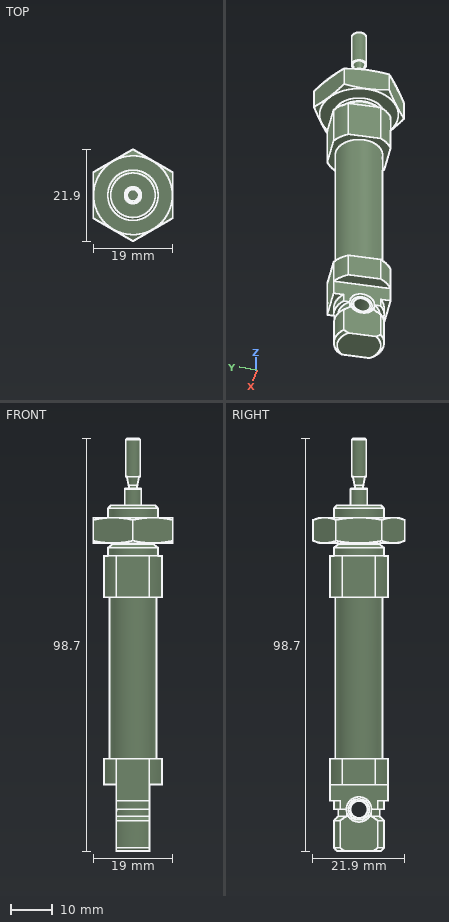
import cadquery as cq
import math

CORNER_DIA = 16.0
HEAD_WIDTH = 13.9
THREAD_DIA = 12.0
THREAD_TIP_DIA = 10.7
GROOVE_DIA = 10.0
TUBE_DIA = 11.35

TANG_THICKNESS = 8.0
TAIL_CHAMFER = 0.8
TAIL_GROOVE_BOTTOM = 7.3
TAIL_GROOVE_TOP = 10.0
TAIL_GROOVE_DEPTH = (THREAD_DIA - GROOVE_DIA) / 2
PIVOT_Z = 10.0
PIVOT_DIA = 4.0
PIVOT_STEP_DIA = 5.0
PIVOT_SINK_DIA = 6.0

REAR_HEAD_BOTTOM = 12.0
TANG_TOP = 15.9
REAR_HEAD_TOP = 22.1
FRONT_HEAD_BOTTOM = 60.7
FRONT_HEAD_TOP = 70.6
COLLAR_TOP = 72.5
NUT_BOTTOM = 73.6
NUT_TOP = 79.75
THREAD_TOP = 82.7
THREAD_CHAMFER_HEIGHT = 0.8

NUT_FLATS = 19.0
NUT_FACE_DIA = 18.9
NUT_CHAMFER_ANGLE = 20

ROD_DIA = 4.0
ROD_TOP = 86.8
ROD_CHAMFER = 0.2
NECK_DIA = 2.0
NECK_TOP = 87.4
CONE_SMALL_DIA = 2.2
CONE_LARGE_DIA = 3.0
PIN_BOTTOM = 89.5
PIN_DIA = 3.6
PIN_CHAMFER = 0.4
TOTAL_LENGTH = 98.7


def cylinder(diameter, bottom, top):
    return cq.Workplane("XY").workplane(offset=bottom).circle(diameter / 2).extrude(top - bottom)


def cone(bottom_dia, top_dia, bottom, top):
    return cq.Workplane("XY").add(
        cq.Solid.makeCone(bottom_dia / 2, top_dia / 2, top - bottom, pnt=cq.Vector(0, 0, bottom))
    )


def square_head(bottom, top):
    """Square block with its vertical corners turned round."""
    block = cq.Workplane("XY").workplane(offset=bottom).rect(HEAD_WIDTH, HEAD_WIDTH).extrude(top - bottom)
    return block.intersect(cylinder(CORNER_DIA, bottom, top))


def pivot_hole():
    """Cross hole along X, stepped and countersunk at both faces of the tang."""
    half = TANG_THICKNESS / 2
    sink = (PIVOT_SINK_DIA - PIVOT_STEP_DIA) / 2
    profile = [
        (-half, 0),
        (-half, PIVOT_SINK_DIA / 2),
        (-half + sink, PIVOT_STEP_DIA / 2),
        (-half + sink, PIVOT_DIA / 2),
        (half - sink, PIVOT_DIA / 2),
        (half - sink, PIVOT_STEP_DIA / 2),
        (half, PIVOT_SINK_DIA / 2),
        (half, 0),
    ]
    hole = cq.Workplane("XY").polyline(profile).close().revolve(360, (0, 0), (1, 0))
    return hole.translate((0, 0, PIVOT_Z))


def rear_end():
    """Rear head and grooved stub, flattened to the tang below TANG_TOP."""
    groove_floor = TAIL_GROOVE_BOTTOM + TAIL_GROOVE_DEPTH
    stub = cylinder(THREAD_DIA, 0, REAR_HEAD_BOTTOM).faces("<Z").chamfer(TAIL_CHAMFER)
    stub = stub.cut(
        cylinder(THREAD_DIA, TAIL_GROOVE_BOTTOM, TAIL_GROOVE_TOP)
        .cut(cone(THREAD_DIA, GROOVE_DIA, TAIL_GROOVE_BOTTOM, groove_floor))
        .cut(cylinder(GROOVE_DIA, groove_floor, TAIL_GROOVE_TOP))
    )
    end = stub.union(square_head(REAR_HEAD_BOTTOM, REAR_HEAD_TOP))
    tang_space = cq.Workplane("XY").box(TANG_THICKNESS, HEAD_WIDTH, TANG_TOP, centered=(True, True, False))
    upper_space = cylinder(CORNER_DIA, TANG_TOP, REAR_HEAD_TOP)
    return end.intersect(tang_space.union(upper_space)).cut(pivot_hole())


def threaded_neck():
    """Mounting thread with a narrow groove below the nut."""
    radii_and_heights = [
        (0, FRONT_HEAD_TOP),
        (THREAD_DIA / 2, FRONT_HEAD_TOP),
        (THREAD_DIA / 2, COLLAR_TOP),
        (GROOVE_DIA / 2, COLLAR_TOP + THREAD_CHAMFER_HEIGHT),
        (GROOVE_DIA / 2, NUT_BOTTOM),
        (THREAD_DIA / 2, NUT_BOTTOM),
        (THREAD_DIA / 2, THREAD_TOP - THREAD_CHAMFER_HEIGHT),
        (THREAD_TIP_DIA / 2, THREAD_TOP),
        (0, THREAD_TOP),
    ]
    return cq.Workplane("XZ").polyline(radii_and_heights).close().revolve(360, (0, 0), (0, 1))


def make_housing():
    body = rear_end()
    body = body.union(cylinder(TUBE_DIA, REAR_HEAD_TOP, FRONT_HEAD_BOTTOM))
    body = body.union(square_head(FRONT_HEAD_BOTTOM, FRONT_HEAD_TOP))
    body = body.union(threaded_neck())
    rod_bore = cylinder(ROD_DIA, FRONT_HEAD_BOTTOM, THREAD_TOP)
    return body.cut(rod_bore)


def make_nut():
    """Hexagon with two flats facing +X and -X and both ends chamfered at the corners."""
    corner_dia = NUT_FLATS / math.cos(math.pi / 6)
    drop = (corner_dia - NUT_FACE_DIA) / 2 * math.tan(math.radians(NUT_CHAMFER_ANGLE))
    hexagon = (
        cq.Workplane("XY")
        .workplane(offset=NUT_BOTTOM)
        .transformed(rotate=(0, 0, 90))
        .polygon(6, corner_dia)
        .extrude(NUT_TOP - NUT_BOTTOM)
    )
    envelope = cone(NUT_FACE_DIA, corner_dia, NUT_BOTTOM, NUT_BOTTOM + drop)
    envelope = envelope.union(cylinder(corner_dia, NUT_BOTTOM + drop, NUT_TOP - drop))
    envelope = envelope.union(cone(corner_dia, NUT_FACE_DIA, NUT_TOP - drop, NUT_TOP))
    return hexagon.intersect(envelope).cut(cylinder(THREAD_DIA, NUT_BOTTOM, NUT_TOP))


def make_rod():
    rod = cylinder(ROD_DIA, FRONT_HEAD_BOTTOM, ROD_TOP).faces(">Z").chamfer(ROD_CHAMFER)
    rod = rod.union(cylinder(NECK_DIA, ROD_TOP, NECK_TOP))
    rod = rod.union(cone(CONE_SMALL_DIA, CONE_LARGE_DIA, NECK_TOP, PIN_BOTTOM))
    pin = cylinder(PIN_DIA, PIN_BOTTOM, TOTAL_LENGTH).faces(">Z").chamfer(PIN_CHAMFER)
    return rod.union(pin)


housing = make_housing()
nut = make_nut()
rod = make_rod()

result = cq.Compound.makeCompound([housing.val(), nut.val(), rod.val()])